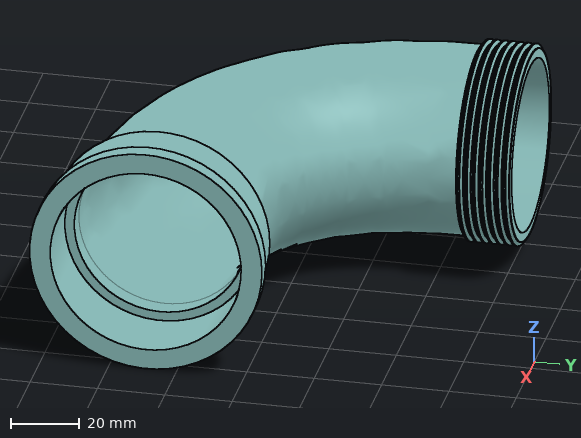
import cadquery as cq


pipe_diameter = 55.9
bore_diameter = 51.0
bend_end = 73.7
bend_fullness = 0.6

thread_root_diameter = 56.7
thread_crest_diameter = 59.2
thread_length = 16.0
ridge_count = 7
crest_share = 0.2
root_share = 0.2

flange_diameter = 69.0
flange_thickness = 5.0
socket_diameter = 65.0
socket_land = 14.7
socket_bore_diameter = 56.7

length_x = 128.8
length_y = 127.0
socket_face = length_x - thread_crest_diameter / 2
male_face = length_y - flange_diameter / 2

thread_start = male_face - thread_length
flange_start = socket_face - flange_thickness
socket_start = flange_start - socket_land
cone_length = (socket_diameter - pipe_diameter) / 2
cone_start = socket_start - cone_length


def swept_elbow(diameter):
    """Solid round bar along the whole elbow axis, from male face to socket face."""
    handle = 1 - bend_fullness
    bend_curve = [(0, thread_start * handle), (bend_end * handle, 0), (bend_end, 0)]
    axis = (
        cq.Workplane("XY")
        .moveTo(0, male_face)
        .lineTo(0, thread_start)
        .bezier(bend_curve, includeCurrent=True)
        .lineTo(socket_face, 0)
    )
    section = cq.Workplane("XZ", origin=(0, male_face, 0)).circle(diameter / 2)
    return section.sweep(axis)


def male_thread():
    """Ridged sleeve revolved about the Y axis."""
    root = thread_root_diameter / 2
    crest = thread_crest_diameter / 2
    pitch = thread_length / ridge_count
    flank = pitch * (1 - crest_share - root_share) / 2
    profile = [(0, thread_start), (root, thread_start)]
    for index in range(ridge_count):
        crest_start = thread_start + index * pitch + pitch * root_share / 2 + flank
        crest_end = crest_start + pitch * crest_share
        profile += [
            (root, crest_start - flank),
            (crest, crest_start),
            (crest, crest_end),
            (root, crest_end + flank),
        ]
    profile += [(root, male_face), (0, male_face)]
    return cq.Workplane("XY").polyline(profile).close().revolve(360, (0, 0, 0), (0, 1, 0))


def socket_body():
    """Cone, cylinder and end flange revolved about the X axis."""
    profile = [
        (cone_start, 0),
        (cone_start, pipe_diameter / 2),
        (socket_start, socket_diameter / 2),
        (flange_start, socket_diameter / 2),
        (flange_start, flange_diameter / 2),
        (socket_face, flange_diameter / 2),
        (socket_face, 0),
    ]
    return cq.Workplane("XY").polyline(profile).close().revolve(360, (0, 0, 0), (1, 0, 0))


def socket_bore():
    """Wider bore of the socket, from its face back to the cone."""
    depth = socket_face - socket_start
    return (
        cq.Workplane("YZ", origin=(socket_start, 0, 0))
        .circle(socket_bore_diameter / 2)
        .extrude(depth)
    )


outside = swept_elbow(pipe_diameter).union(male_thread()).union(socket_body())
result = outside.cut(swept_elbow(bore_diameter)).cut(socket_bore())